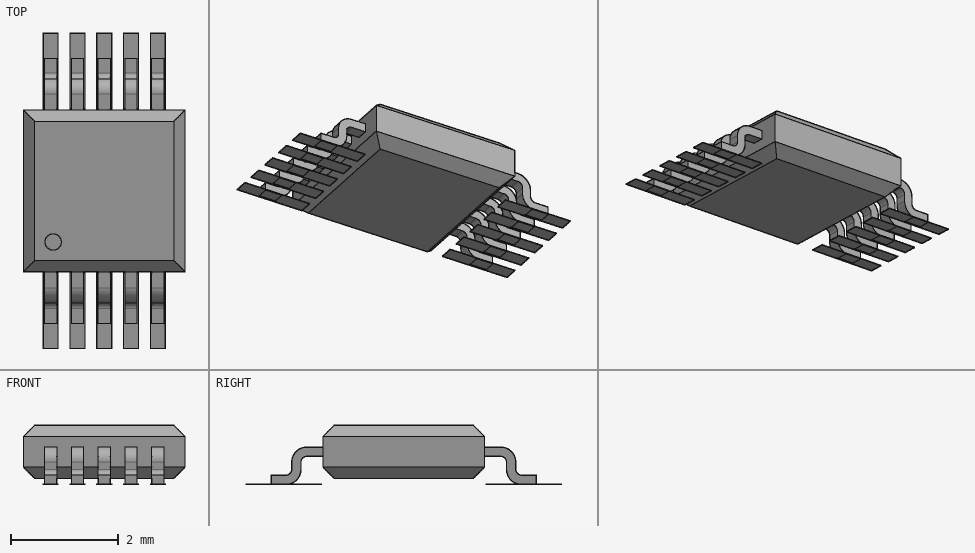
import cadquery as cq

body_side = 3.0
body_top = 1.1
body_bottom = 0.11
bevel = 0.21

mark_radius = 0.15
mark_offset = 0.95
mark_depth = 0.01

leads_per_side = 5
lead_pitch = 0.5
lead_width = 0.23
lead_thickness = 0.175
lead_top = 0.695
shoulder_length = 0.3
foot_reach = 0.96
inner_radius = 0.105
outer_radius = inner_radius + lead_thickness

overall_length = 5.85
pad_length = 1.405
pad_width = 0.28
pad_thickness = 0.01


def make_body():
    """Block with the same bevel around the top and bottom faces."""
    block = cq.Workplane("XY").workplane(offset=body_bottom).rect(body_side, body_side)
    block = block.extrude(body_top - body_bottom)
    return block.faces("<Z or >Z").edges().chamfer(bevel)


def make_mark():
    """Disc to be removed from the top face at the pin-one corner."""
    mark = cq.Workplane("XY").workplane(offset=body_top - mark_depth)
    return mark.center(-mark_offset, -mark_offset).circle(mark_radius).extrude(mark_depth)


def make_lead():
    """Gull-wing strip leaving the +Y side of the body, centred on X = 0."""
    root = body_side / 2
    bend_start = root + shoulder_length
    inner_wall = bend_start + inner_radius
    outer_wall = bend_start + outer_radius
    foot_start = outer_wall + inner_radius
    foot_end = root + foot_reach
    upper_bend_end = lead_top - outer_radius
    lower_bend_start = outer_radius

    profile = (
        cq.Workplane("YZ")
        .workplane(offset=-lead_width / 2)
        .moveTo(root, lead_top)
        .lineTo(bend_start, lead_top)
        .radiusArc((outer_wall, upper_bend_end), outer_radius)
        .lineTo(outer_wall, lower_bend_start)
        .radiusArc((foot_start, lead_thickness), -inner_radius)
        .lineTo(foot_end, lead_thickness)
        .lineTo(foot_end, 0)
        .lineTo(foot_start, 0)
        .radiusArc((inner_wall, lower_bend_start), outer_radius)
        .lineTo(inner_wall, upper_bend_end)
        .radiusArc((bend_start, lead_top - lead_thickness), -inner_radius)
        .lineTo(root, lead_top - lead_thickness)
        .close()
    )
    return profile.extrude(lead_width)


def make_pad():
    """Flat strip reaching from near the body to the far +Y end."""
    pad_centre = (overall_length - pad_length) / 2
    return cq.Workplane("XY").center(0, pad_centre).rect(pad_width, pad_length).extrude(pad_thickness)


result = make_body().cut(make_mark())
lead_on_pad = make_lead().union(make_pad())
for index in range(leads_per_side):
    x = (index - (leads_per_side - 1) / 2) * lead_pitch
    back_lead = lead_on_pad.translate((x, 0, 0))
    front_lead = back_lead.mirror("XZ")
    result = result.union(back_lead).union(front_lead)